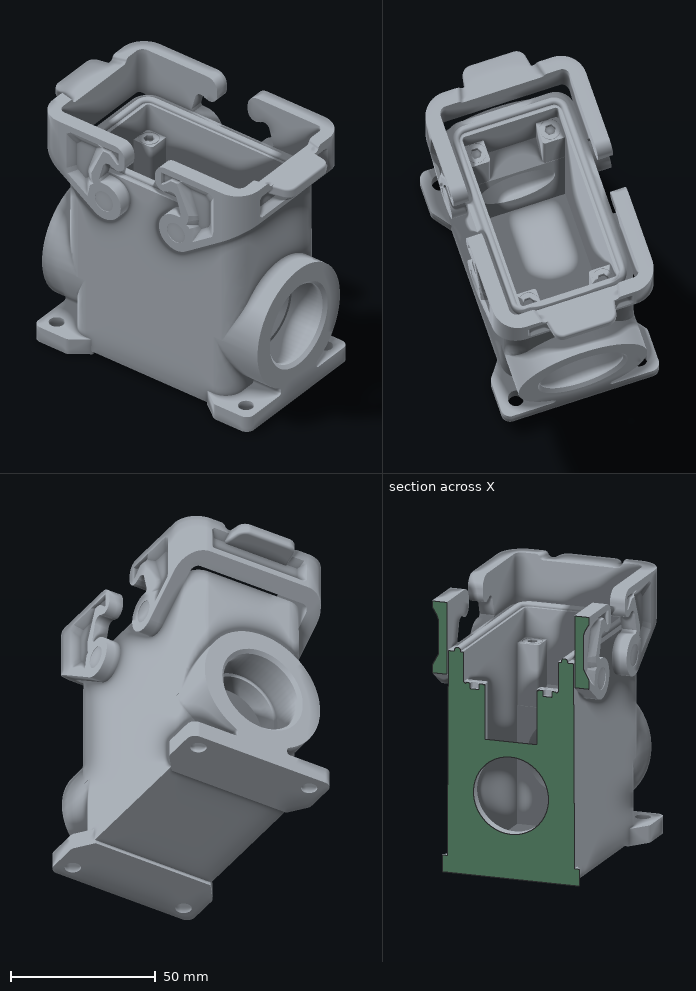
import cadquery as cq
import math

body_half_x = 38.2
lower_half_x = 34.9
body_half_y = 23.6
body_corner_radius = 7.0
body_draft = 0.3
body_bottom_z = 1.3
rim_z = 79.7

cavity_half_x = 32.2
cavity_half_y = 17.5
cavity_corner_radius = 1.0
floor_z = 4.1
floor_half_x = 24.1
ramp_bottom_z = 46.6
ramp_rise = 6.2

bead_half_x = 36.0
bead_half_y = 21.0
bead_width = 2.5
bead_height = 1.5
bead_corner_radius = 5.4
bead_rounding = 1.19

post_size = 8.0
post_top_z = 68.9
post_corner_radius = 1.0
screw_x = 28.5
screw_y = 13.5
screw_radius = 3.7
screw_ring_width = 0.3
screw_ring_depth = 0.3
socket_diameter = 4.0
socket_depth = 2.1

entry_half_x = 46.8
entry_radius = 23.4
entry_z = 29.9
entry_inner_x = 27.7
thread_radius = 15.1
thread_end_x = 32.2
thread_chamfer = 1.2
bore_radius = 13.8
web_half_y = 10.0
web_fillet = 1.0
web_pad_half_y = 12.4

foot_half_y = 28.6
foot_height = 6.2
foot_corner_radius = 3.1
foot_bend_x = 31.9
foot_bend_radius = 2.5
foot_inner_x = 24.8
foot_overlap = 0.3
foot_hole_x = 41.1
foot_hole_y = 22.5
foot_hole_diameter = 5.6

lever_top_z = 96.9
lever_half_x = 44.7
lever_half_y = 29.0
lever_corner_radius = 9.1
lever_inner_half_x = 39.6
lever_inner_half_y = 23.5
lever_inner_radius = 2.7
lever_end_bottom_z = 82.7
pivot_x = 15.6
pivot_z = 71.6
pivot_eye_radius = 7.3
pin_radius = 3.9
pin_recess = 0.2
pin_chamfer = 0.3
hook_tip_x = 6.6
hook_top_radius = 4.3
hook_bottom_radius = 3.5
hook_bottom_z = 86.8
neck_foot_x = 17.8
neck_foot_rise = 1.0
neck_foot_run = 0.5

side_pocket_depth = 2.1
hook_groove_depth = 1.2
hook_groove_draft = 20.0
end_pocket_half_y = 19.3
end_pocket_bottom_z = 84.6
end_pocket_top_z = 93.4
end_pocket_depth = 2.4
end_pocket_corner = 1.0
end_pocket_draft = 45.0

tab_half_x = 51.8
tab_top_z = 94.8
tab_thickness = 4.3
tab_tip_half_y = 10.9
tab_root_half_y = 13.2
tab_corner_radius = 3.6
tab_edge_fillet = 0.9
notch_outer_half_y = 12.4
notch_inner_half_y = 13.7
notch_flare = 2.9


def mirrored_x(solid):
    """The solid together with its mirror image across the YZ plane."""
    return solid.union(solid.mirror("YZ"))


def mirrored_xy(solid):
    """The solid repeated in all four quadrants."""
    pair = mirrored_x(solid)
    return pair.union(pair.mirror("XZ"))


def rounded_block(half_x, half_y, radius, bottom_z, top_z):
    block = cq.Workplane("XY").box(2 * half_x, 2 * half_y, top_z - bottom_z, centered=(True, True, False))
    return block.edges("|Z").fillet(radius).translate((0, 0, bottom_z))


def drafted_block(half_x, half_y, bottom_z, top_z):
    """Rounded block whose walls lean inward towards the top."""
    outline = cq.Sketch().rect(2 * half_x, 2 * half_y).vertices().fillet(body_corner_radius)
    base = cq.Workplane("XY").workplane(offset=bottom_z).placeSketch(outline)
    return base.extrude(top_z - bottom_z, taper=body_draft)


def make_body():
    draft_at_entry = (entry_z - body_bottom_z) * math.tan(math.radians(body_draft))
    upper = drafted_block(body_half_x, body_half_y - draft_at_entry, entry_z, rim_z)
    lower = drafted_block(lower_half_x, body_half_y, body_bottom_z, entry_z)
    return upper.union(lower)


def make_bead():
    outer = rounded_block(bead_half_x, bead_half_y, bead_corner_radius, rim_z, rim_z + bead_height)
    inner = rounded_block(
        bead_half_x - bead_width,
        bead_half_y - bead_width,
        bead_corner_radius - bead_width,
        rim_z,
        rim_z + bead_height,
    )
    return outer.cut(inner).faces(">Z").edges().fillet(bead_rounding)


def make_cavity():
    """Space inside the housing; its ends slope in to thicker walls low down."""
    cavity = rounded_block(cavity_half_x, cavity_half_y, cavity_corner_radius, floor_z, rim_z)
    thick_end = (
        cq.Workplane("XZ")
        .moveTo(-floor_half_x, floor_z)
        .lineTo(-cavity_half_x, floor_z)
        .lineTo(-cavity_half_x, ramp_bottom_z + ramp_rise)
        .lineTo(-floor_half_x, ramp_bottom_z)
        .close()
        .extrude(cavity_half_y, both=True)
    )
    return cavity.cut(mirrored_x(thick_end))


def make_posts():
    corner_x = cavity_half_x - post_size
    corner_y = cavity_half_y - post_size
    wall_overlap = 0.5
    side = post_size + wall_overlap
    post = cq.Workplane("XY").box(side, side, post_top_z - ramp_bottom_z, centered=False)
    post = post.edges("|Z and <X and <Y").fillet(post_corner_radius)
    post = post.translate((corner_x, corner_y, ramp_bottom_z))
    top = cq.Workplane("XY", origin=(screw_x, screw_y, post_top_z))
    ring = top.circle(screw_radius).circle(screw_radius - screw_ring_width).extrude(-screw_ring_depth)
    socket = top.transformed(rotate=(0, 0, 90)).polygon(6, socket_diameter).extrude(-socket_depth)
    return mirrored_xy(post.cut(ring).cut(socket))


def make_entries():
    """Round bosses on both ends, each standing on a web above the feet."""
    length = entry_half_x - entry_inner_x
    boss = cq.Workplane("YZ", origin=(entry_inner_x, 0, entry_z)).circle(entry_radius).extrude(length)
    web_height = entry_z - foot_height
    web = cq.Workplane("XY", origin=(entry_inner_x, 0, foot_height))
    web = web.box(length, 2 * web_half_y, web_height, centered=(False, True, False))
    pad = cq.Workplane("XY", origin=(entry_inner_x, 0, 0))
    pad = pad.box(length, 2 * web_pad_half_y, foot_height, centered=(False, True, False))
    boss = boss.union(web).union(pad)
    web_corner = cq.selectors.BoxSelector(
        (0, -web_half_y - web_fillet, foot_height / 2),
        (entry_half_x, web_half_y + web_fillet, entry_z - bore_radius),
    )
    boss = boss.edges("|X").edges(web_corner).fillet(web_fillet)
    return mirrored_x(boss)


def make_bores():
    """Stepped bore running through both cable entries along X."""
    through = cq.Workplane("YZ", origin=(0, 0, entry_z)).circle(bore_radius).extrude(entry_half_x, both=True)
    thread = (
        cq.Workplane("XY", origin=(0, 0, entry_z))
        .moveTo(thread_end_x, 0)
        .lineTo(thread_end_x, thread_radius)
        .lineTo(entry_half_x - thread_chamfer, thread_radius)
        .lineTo(entry_half_x, thread_radius + thread_chamfer)
        .lineTo(entry_half_x, 0)
        .close()
        .revolve(360, (0, 0, 0), (1, 0, 0))
    )
    return through.union(mirrored_x(thread))


def make_feet():
    inner_y = body_half_y - foot_overlap
    foot = (
        cq.Workplane("XY")
        .moveTo(foot_inner_x, -inner_y)
        .lineTo(foot_bend_x, -foot_half_y)
        .lineTo(entry_half_x, -foot_half_y)
        .lineTo(entry_half_x, foot_half_y)
        .lineTo(foot_bend_x, foot_half_y)
        .lineTo(foot_inner_x, inner_y)
        .close()
        .extrude(foot_height)
    )
    foot = foot.edges("|Z and >X").fillet(foot_corner_radius)
    for side in (">Y", "<Y"):
        foot = foot.faces(side).edges("|Z and <X").fillet(foot_bend_radius)
    foot = (
        foot.faces(">Z")
        .workplane(origin=(0, 0, foot_height))
        .pushPoints([(foot_hole_x, -foot_hole_y), (foot_hole_x, foot_hole_y)])
        .hole(foot_hole_diameter)
    )
    return mirrored_x(foot)


def lever_profile():
    """Side outline of the -X lever: end plate, hook, neck and pivot eye."""
    end_to_pivot_x = lever_half_x - pivot_x
    end_to_pivot_z = lever_end_bottom_z - pivot_z
    pivot_distance = math.hypot(end_to_pivot_x, end_to_pivot_z)
    slope = math.atan2(end_to_pivot_z, end_to_pivot_x) + math.asin(pivot_eye_radius / pivot_distance)
    eye_tangent = (
        -pivot_x - pivot_eye_radius * math.sin(slope),
        pivot_z - pivot_eye_radius * math.cos(slope),
    )
    eye_top_z = pivot_z + pivot_eye_radius
    hook_top_x = -hook_tip_x - hook_top_radius
    hook_bottom_x = -hook_tip_x - hook_bottom_radius
    diagonal = math.sqrt(0.5)
    hook_top_middle = (
        hook_top_x + hook_top_radius * diagonal,
        lever_top_z - hook_top_radius * (1 - diagonal),
    )
    hook_bottom_middle = (
        hook_bottom_x + hook_bottom_radius * diagonal,
        hook_bottom_z + hook_bottom_radius * (1 - diagonal),
    )
    throat_start = (-12.1, 87.5)
    throat_middle = (-14.3, 88.0)
    throat_end = (-16.1, 85.9)
    return (
        cq.Workplane("XZ")
        .moveTo(-lever_half_x, lever_end_bottom_z)
        .lineTo(-lever_half_x, lever_top_z)
        .lineTo(hook_top_x, lever_top_z)
        .threePointArc(hook_top_middle, (-hook_tip_x, lever_top_z - hook_top_radius))
        .lineTo(-hook_tip_x, hook_bottom_z + hook_bottom_radius)
        .threePointArc(hook_bottom_middle, (hook_bottom_x, hook_bottom_z))
        .lineTo(*throat_start)
        .threePointArc(throat_middle, throat_end)
        .lineTo(-neck_foot_x, eye_top_z + neck_foot_rise)
        .lineTo(-neck_foot_x + neck_foot_run, eye_top_z)
        .lineTo(-pivot_x, eye_top_z)
        .threePointArc((-pivot_x + pivot_eye_radius, pivot_z), eye_tangent)
        .close()
    )


def side_pockets():
    """Drafted recesses in one flank of the -X lever, with a shallow groove in its hook."""
    mouth = [
        (-31.9, 93.2),
        (-30.0, 94.4),
        (-15.1, 94.4),
        (-21.1, 81.1),
        (-20.9, 78.7),
        (-20.2, 77.0),
        (-21.6, 76.0),
        (-22.8, 70.8),
        (-31.4, 76.7),
        (-31.9, 78.8),
    ]
    floor = [
        (-29.0, 89.0),
        (-26.9, 91.0),
        (-20.4, 91.0),
        (-23.8, 81.1),
        (-24.1, 79.7),
        (-23.8, 77.3),
        (-24.1, 76.9),
        (-25.2, 76.2),
        (-28.4, 78.5),
        (-29.0, 80.1),
    ]
    flank = cq.Workplane("XZ", origin=(0, -lever_half_y, 0))
    pocket = flank.polyline(mouth).close().workplane(offset=-side_pocket_depth)
    pocket = pocket.polyline(floor).close().loft(ruled=True)
    hook_mouth = [
        (-18.6, 94.4),
        (-9.2, 94.4),
        (-9.2, 89.5),
        (-10.0, 89.5),
        (-13.5, 92.5),
        (-16.6, 92.5),
    ]
    groove = flank.polyline(hook_mouth).close().extrude(-hook_groove_depth, taper=hook_groove_draft)
    return pocket.union(groove)


def make_tab():
    tab = (
        cq.Workplane("XY", origin=(0, 0, tab_top_z - tab_thickness))
        .moveTo(-lever_inner_half_x, -tab_root_half_y)
        .lineTo(-tab_half_x, -tab_tip_half_y)
        .lineTo(-tab_half_x, tab_tip_half_y)
        .lineTo(-lever_inner_half_x, tab_root_half_y)
        .close()
        .extrude(tab_thickness)
    )
    tab = tab.edges("|Z and <X").fillet(tab_corner_radius)
    return tab.faces("<X").edges("|Y").fillet(tab_edge_fillet)


def make_notch():
    """Flared cut in the top of the lever end, level with the tab."""

    height = lever_top_z - tab_top_z
    radius = (notch_flare**2 + height**2) / (4 * height)
    half_turn = math.atan2(height, notch_flare)
    arc_y = radius * math.sin(half_turn)
    arc_z = radius * (1 - math.cos(half_turn))

    def section(plane, half_y):
        """Each side rises in two equal arcs that meet halfway up."""
        outer_y = half_y + notch_flare
        mid_y = half_y + notch_flare / 2
        mid_z = tab_top_z + height / 2
        return (
            plane.moveTo(-half_y, tab_top_z)
            .lineTo(half_y, tab_top_z)
            .threePointArc((half_y + arc_y, tab_top_z + arc_z), (mid_y, mid_z))
            .threePointArc((outer_y - arc_y, lever_top_z - arc_z), (outer_y, lever_top_z))
            .lineTo(-outer_y, lever_top_z)
            .threePointArc((-outer_y + arc_y, lever_top_z - arc_z), (-mid_y, mid_z))
            .threePointArc((-half_y - arc_y, tab_top_z + arc_z), (-half_y, tab_top_z))
            .close()
        )

    outer = section(cq.Workplane("YZ", origin=(-lever_half_x, 0, 0)), notch_outer_half_y)
    inner_plane = outer.workplane(offset=lever_half_x - lever_inner_half_x)
    return section(inner_plane, notch_inner_half_y).loft(ruled=True)


def make_end_pocket():
    center_z = (end_pocket_top_z + end_pocket_bottom_z) / 2
    height = end_pocket_top_z - end_pocket_bottom_z
    mouth = cq.Sketch().rect(2 * end_pocket_half_y, height).vertices().chamfer(end_pocket_corner)
    plane = cq.Workplane("YZ", origin=(-lever_half_x, 0, center_z))
    return plane.placeSketch(mouth).extrude(end_pocket_depth, taper=end_pocket_draft)


def make_levers():
    bottom_z = pivot_z - pivot_eye_radius
    ring = rounded_block(lever_half_x, lever_half_y, lever_corner_radius, bottom_z, lever_top_z)
    opening = rounded_block(lever_inner_half_x, lever_inner_half_y, lever_inner_radius, bottom_z, lever_top_z)
    lever = lever_profile().extrude(lever_half_y, both=True).intersect(ring.cut(opening))
    pockets = side_pockets()
    lever = lever.cut(pockets).cut(pockets.mirror("XZ"))
    lever = lever.cut(make_end_pocket()).cut(make_notch()).union(make_tab())
    return mirrored_x(lever)


def make_pins(radius, inner_y, outer_y):
    plane = cq.Workplane("XZ", origin=(pivot_x, -inner_y, pivot_z))
    return mirrored_xy(plane.circle(radius).extrude(outer_y - inner_y))


housing = make_body().union(make_entries()).union(make_feet())
housing = housing.cut(make_cavity()).cut(make_bores())
housing = housing.union(make_bead()).union(make_posts())

pin_end_y = lever_half_y - pin_recess
pin_seat = make_pins(pin_radius, pin_end_y, lever_half_y)
pins = make_pins(pin_radius, cavity_half_y + bead_width, pin_end_y)
pins = pins.faces("<Y or >Y").edges().chamfer(pin_chamfer)
result = housing.union(make_levers().cut(pin_seat)).union(pins)